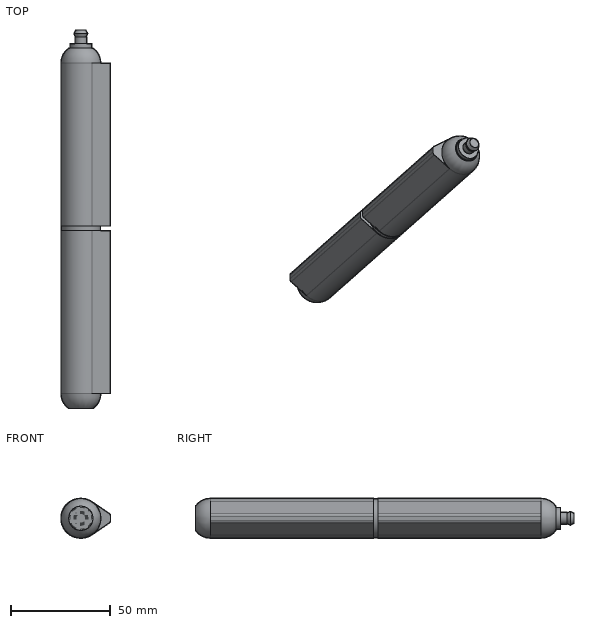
import cadquery as cq
import math

total_length = 189.5
leaf_length = 81.5
leaf_gap = 2.3
end_cap_length = 7.5

barrel_radius = 20.0 / 2
lug_reach = 25.0 - barrel_radius
lug_tip_half_height = 1.9
lug_corner_radius = 1.7

washer_radius = 19.7 / 2
cap_face_radius = 12.1 / 2

collar_radius = 11.0 / 2
collar_length = 2.3
neck_radius = 6.0 / 2
head_radius = 7.0 / 2
head_face_radius = 5.0 / 2
head_taper_length = 1.9
head_back_length = 1.7
head_back_radius = 5.3 / 2

front_leaf_start = end_cap_length
front_leaf_end = front_leaf_start + leaf_length
rear_leaf_start = front_leaf_end + leaf_gap
rear_leaf_end = rear_leaf_start + leaf_length
rear_cap_end = rear_leaf_end + end_cap_length
collar_end = rear_cap_end + collar_length
head_widest = total_length - head_taper_length
head_back = head_widest - head_back_length


def make_leaf(start):
    """Barrel and lug, with the lug flanks tangent to the barrel."""
    tip_distance = math.hypot(lug_reach, lug_tip_half_height)
    tip_angle = math.atan2(lug_tip_half_height, lug_reach)
    tangent_angle = tip_angle + math.acos(barrel_radius / tip_distance)
    tangent_x = barrel_radius * math.cos(tangent_angle)
    tangent_z = barrel_radius * math.sin(tangent_angle)
    return (
        cq.Workplane("XZ", origin=(0, start, 0))
        .moveTo(tangent_x, tangent_z)
        .threePointArc((-barrel_radius, 0), (tangent_x, -tangent_z))
        .lineTo(lug_reach, -lug_tip_half_height)
        .lineTo(lug_reach, lug_tip_half_height)
        .close()
        .extrude(-leaf_length)
        .edges("|Y and >X")
        .fillet(lug_corner_radius)
    )


def cap_arc_middle(seam, direction):
    """Middle of a cap's profile arc, which starts tangent to the barrel."""
    drop = barrel_radius - cap_face_radius
    arc_radius = (end_cap_length**2 + drop**2) / (2 * drop)
    half_angle = math.asin(end_cap_length / arc_radius) / 2
    radius = barrel_radius - arc_radius * (1 - math.cos(half_angle))
    return radius, seam + direction * arc_radius * math.sin(half_angle)


def make_core():
    """Revolved core: front cap, washer, rear cap and grease nipple."""
    return (
        cq.Workplane("XY")
        .moveTo(0, 0)
        .lineTo(cap_face_radius, 0)
        .threePointArc(cap_arc_middle(front_leaf_start, -1), (barrel_radius, front_leaf_start))
        .lineTo(washer_radius, front_leaf_start)
        .lineTo(washer_radius, rear_leaf_end)
        .lineTo(barrel_radius, rear_leaf_end)
        .threePointArc(cap_arc_middle(rear_leaf_end, 1), (cap_face_radius, rear_cap_end))
        .lineTo(collar_radius, rear_cap_end)
        .lineTo(collar_radius, collar_end)
        .lineTo(neck_radius, collar_end)
        .lineTo(neck_radius, head_back)
        .lineTo(head_back_radius, head_back)
        .lineTo(head_radius, head_widest)
        .lineTo(head_face_radius, total_length)
        .lineTo(0, total_length)
        .close()
        .revolve(360, (0, 0, 0), (0, 1, 0))
    )


result = make_core()
for leaf_start in (front_leaf_start, rear_leaf_start):
    result = result.union(make_leaf(leaf_start))